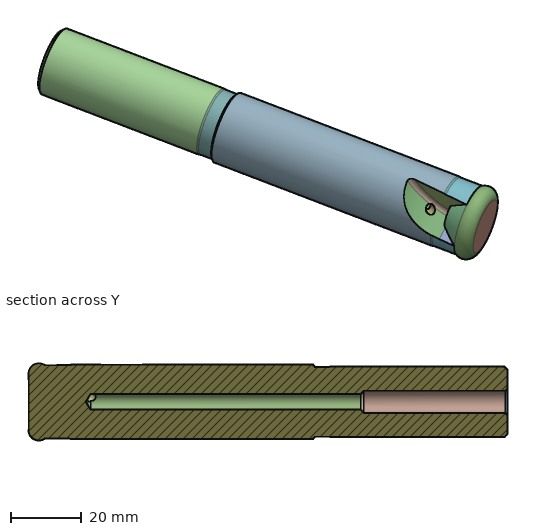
import cadquery as cq
import math

total_length = 135.5
neck_start = 50.0
body_start = 55.0
collar_start = 123.3
head_start = 130.8

shaft_overlap = 0.7
shaft_end = head_start + shaft_overlap

shank_radius = 10.0
neck_radius = 9.9
body_radius = 10.6
collar_radius = 10.5
head_radius = 11.0
rim_round = 3.0
shank_chamfer = 1.0
edge_bevel = 0.5

rim_center_x = total_length - rim_round
rim_center_radius = head_radius - rim_round
head_edge_radius = rim_center_radius + math.sqrt(rim_round**2 - (rim_center_x - head_start) ** 2)

flat_center = 24.9
flat_length = 11.0
flat_y = 8.1
flat_clearance = 1.4

pocket_plan_angle = 5.0
pocket_floor_tilt = 8.0
pocket_fillet = 1.4
wall_x = 112.5
wall_y = -0.5
pocket_back_top = (109.8, 14.9)
pocket_floor_bend = (126.0, 2.6)
pocket_floor_end = (total_length, 1.6)

dome_start = 125.5
dome_flat_radius = 6.1

mouth_radius = 3.8
bore_radius = 3.1
bore_depth = 40.6
feed_radius = 2.2
feed_end = 117.9
drill_point_length = 1.4
outlet_radius = 1.4
outlet_start = (116.5, 0.0, 0.0)
outlet_direction = (1.0, -1.0, 1.0)
outlet_length = 9.5


def revolve_about_axis(outline):
    """Revolve an outline of (X, radius) around the tool axis."""
    return outline.close().revolve(360, (0, 0, 0), (1, 0, 0))


def make_turned_shaft():
    outline = (
        cq.Workplane("XY")
        .lineTo(0, shank_radius - shank_chamfer)
        .lineTo(shank_chamfer, shank_radius)
        .lineTo(neck_start, shank_radius)
        .lineTo(neck_start + edge_bevel, neck_radius)
        .lineTo(body_start - edge_bevel, neck_radius)
        .lineTo(body_start, body_radius)
        .lineTo(collar_start, body_radius)
        .lineTo(collar_start + edge_bevel, collar_radius)
        .lineTo(shaft_end, collar_radius)
        .lineTo(shaft_end, 0)
    )
    return revolve_about_axis(outline)


def make_head():
    """Head with a rounded rim whose back curves smoothly down to a small flat."""
    outline = (
        cq.Workplane("XY")
        .moveTo(total_length, 0)
        .lineTo(total_length, rim_center_radius)
        .threePointArc((rim_center_x, head_radius), (head_start, head_edge_radius))
        .tangentArcPoint((dome_start, dome_flat_radius), relative=False)
        .lineTo(dome_start, 0)
    )
    return revolve_about_axis(outline)


def make_flat_cutter():
    half = flat_length / 2
    rise = shank_radius - flat_y + flat_clearance
    outline = [
        (flat_center - half, flat_y),
        (flat_center + half, flat_y),
        (flat_center + half + rise, flat_y + rise),
        (flat_center - half - rise, flat_y + rise),
    ]
    return cq.Workplane("XY").polyline(outline).close().extrude(2 * shank_radius, both=True)


def make_pocket_cutter():
    """Pocket with a curved, outward-sloping floor and a wall swung off the XZ plane."""
    outline = (
        cq.Workplane("XZ")
        .moveTo(*pocket_floor_end)
        .lineTo(*pocket_floor_bend)
        .tangentArcPoint(pocket_back_top, relative=False)
        .lineTo(total_length, pocket_back_top[1])
        .close()
    )
    reach = 2 * head_radius
    floor_sweep = outline.extrude(reach, both=True).rotate((0, 0, 0), (1, 0, 0), pocket_floor_tilt)
    outer_side = (
        cq.Workplane("XY")
        .box(2 * total_length, reach, 4 * reach, centered=(True, False, True))
        .translate((wall_x, wall_y - reach, 0))
        .rotate((wall_x, wall_y, 0), (wall_x, wall_y, 1), -pocket_plan_angle)
    )
    pocket = floor_sweep.intersect(outer_side)
    wall_point = (collar_start, wall_y, body_radius)
    wall = pocket.faces(cq.selectors.NearestToPointSelector(wall_point))
    return wall.edges("not (>X or >Z)").fillet(pocket_fillet)


def make_bore_cutter():
    mouth_depth = mouth_radius - bore_radius
    outline = (
        cq.Workplane("XY")
        .lineTo(0, mouth_radius)
        .lineTo(mouth_depth, bore_radius)
        .lineTo(bore_depth, bore_radius)
        .lineTo(bore_depth + bore_radius - feed_radius, feed_radius)
        .lineTo(feed_end, feed_radius)
        .lineTo(feed_end + drill_point_length, 0)
    )
    return revolve_about_axis(outline)


def make_outlet_cutter():
    outlet = cq.Solid.makeCylinder(
        outlet_radius, outlet_length, cq.Vector(*outlet_start), cq.Vector(*outlet_direction)
    )
    return cq.Workplane("XY").add(outlet)


result = (
    make_turned_shaft()
    .cut(make_flat_cutter())
    .cut(make_pocket_cutter())
    .union(make_head())
    .cut(make_bore_cutter())
    .cut(make_outlet_cutter())
)